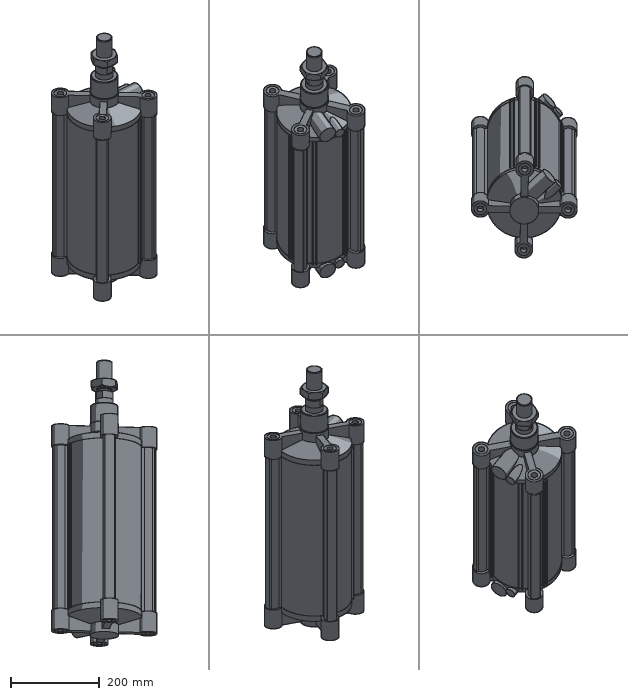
import cadquery as cq
import math


total_height = 638
cap_height = 48.0
collar_rise = 7.0
tube_length = 383
rear_cap_outer_z = collar_rise
tube_bottom_z = rear_cap_outer_z + cap_height
tube_top_z = tube_bottom_z + tube_length
outer_width = 180.0
boss_diameter = 40.0
boss_offset = (outer_width - boss_diameter) / 2
corner_distance = boss_offset * math.sqrt(2)
corner_angles = (45, 135, 225, 315)

cap_diameter = 169.0
rim_height = 13.5
cone_top_height = 31.0
collar_diameter = 65.0
collar_chamfer = 1.0
rib_width = 16.5
boss_recess_diameter = 29.0
boss_recess_depth = 0.5
boss_hole_diameter = 14.0
boss_hole_depth = 19

port_end_y = outer_width / 2
port_diameter = 39.5
port_x = 11.5
port_height = 22.5
cushion_diameter = 23.0
cushion_x = -19
cushion_height = 14.0

guard_diameter = 61.0
guard_top_z = 536
guard_chamfer = 2.0

tube_diameter = 168.0
bore_diameter = 160.0
ear_rod_diameter = 29.0
ear_web_width = 22.5
ear_rim_diameter = 36.0

rail_angle_from_ear = 18.8
rail_angles = [ear + side * rail_angle_from_ear for ear in (45, 135) for side in (-1, 1)]
fin_spacing = 8.0
fin_thickness = 1.0
fin_head_width = 3.0
fin_tip_distance = 89.5

rod_diameter = 40.0
thread_diameter = 36.0
thread_tip_diameter = 32
thread_chamfer = (thread_diameter - thread_tip_diameter) / 2
thread_bottom_z = 572.0
neck_diameter = 32.5
neck_taper = (thread_diameter - neck_diameter) / 2
wrench_diameter = 39.5
wrench_top_z = 566.5
wrench_bottom_z = 549.0
wrench_across_flats = 36.0

nut_across_flats = 55.0
nut_bottom_z = 574
nut_height = 18.5
nut_chamfer_angle = 30
hex_sides = 6
half_corner_angle = 180 / hex_sides


def cylinder(diameter, bottom_z, height, x=0, y=0):
    """Upright cylinder."""
    return cq.Workplane("XY", origin=(x, y, bottom_z)).circle(diameter / 2).extrude(height)


def radial_bar(start, end, width, bottom_z, height, angle, sideways=0):
    """Upright bar between two distances from the Z axis, turned to the given angle."""
    bar = cq.Workplane("XY", origin=(0, 0, bottom_z)).center((start + end) / 2, sideways)
    bar = bar.rect(end - start, width).extrude(height)
    return bar.rotate((0, 0, 0), (0, 0, 1), angle)


def corner_points():
    """Axes of the four corner bosses."""
    return [(sx * boss_offset, sy * boss_offset) for sx in (-1, 1) for sy in (-1, 1)]


def make_side_port(diameter, x, height):
    """Horizontal cylinder from the cap axis to the +Y end plane."""
    start = cq.Workplane("XZ", origin=(x, 0, height))
    return start.circle(diameter / 2).extrude(-port_end_y)


def make_cap():
    """End cap with its inner face at z = 0 and its collar pointing to +Z."""
    rim_radius = cap_diameter / 2
    collar_radius = collar_diameter / 2
    collar_top = cap_height + collar_rise
    profile = [
        (0, 0),
        (rim_radius, 0),
        (rim_radius, rim_height),
        (collar_radius, cone_top_height),
        (collar_radius, collar_top),
        (0, collar_top),
    ]
    cap = cq.Workplane("XZ").polyline(profile).close().revolve(360, (0, 0), (0, 1))
    for angle in corner_angles:
        cap = cap.union(radial_bar(0, corner_distance, rib_width, 0, cap_height, angle))
    for x, y in corner_points():
        cap = cap.union(cylinder(boss_diameter, 0, cap_height, x, y))
    cap = cap.union(make_side_port(port_diameter, port_x, port_height))
    cap = cap.union(make_side_port(cushion_diameter, cushion_x, cushion_height))
    for x, y in corner_points():
        recess_bottom = cap_height - boss_recess_depth
        hole_bottom = cap_height - boss_hole_depth
        cap = cap.cut(cylinder(boss_recess_diameter, recess_bottom, boss_recess_depth, x, y))
        cap = cap.cut(cylinder(boss_hole_diameter, hole_bottom, boss_hole_depth, x, y))
    return cap


def make_rear_cap():
    """Cap mirrored to point down, with its inner face against the bottom of the tube."""
    return make_cap().mirror("XY").translate((0, 0, tube_bottom_z))


def make_front_cap():
    """Cap on top of the tube, with the rod guard and the rod hole."""
    cap = make_cap().translate((0, 0, tube_top_z))
    cap = cap.faces(">Z").edges().chamfer(collar_chamfer)
    guard = cylinder(guard_diameter, tube_top_z, guard_top_z - tube_top_z)
    guard = guard.faces(">Z").edges().chamfer(guard_chamfer)
    rod_hole = cylinder(rod_diameter, tube_top_z, guard_top_z - tube_top_z)
    return cap.union(guard).cut(rod_hole)


def tube_bar(start, end, width, angle, sideways=0):
    """Radial bar as long as the tube."""
    return radial_bar(start, end, width, tube_bottom_z, tube_length, angle, sideways)


def make_ear(angle):
    """Corner ear: a round bar on a flat web that ends in a rounded outer rim."""
    rim = cylinder(ear_rim_diameter, tube_bottom_z, tube_length, corner_distance)
    rim = rim.rotate((0, 0, 0), (0, 0, 1), angle)
    bar = cylinder(ear_rod_diameter, tube_bottom_z, tube_length, corner_distance)
    bar = bar.rotate((0, 0, 0), (0, 0, 1), angle)
    outer = corner_distance + ear_rim_diameter / 2
    clip = tube_bar(corner_distance, outer, ear_web_width, angle)
    web = tube_bar(0, corner_distance, ear_web_width, angle)
    return rim.intersect(clip).union(bar).union(web)


def make_rail(angle):
    """Two parallel T-shaped fins."""
    head_start = fin_tip_distance - fin_thickness
    stem_start = bore_diameter / 2
    rail = cq.Workplane("XY")
    for sideways in (-fin_spacing / 2, fin_spacing / 2):
        stem = tube_bar(stem_start, fin_tip_distance, fin_thickness, angle, sideways)
        head = tube_bar(head_start, fin_tip_distance, fin_head_width, angle, sideways)
        rail = rail.add(stem.union(head))
    return rail.combine()


def make_tube():
    """Hollow tube with an ear at each corner and sensor rails beside the +Y ears."""
    tube = cylinder(tube_diameter, tube_bottom_z, tube_length)
    for angle in corner_angles:
        tube = tube.union(make_ear(angle))
    for angle in rail_angles:
        tube = tube.union(make_rail(angle))
    return tube.cut(cylinder(bore_diameter, tube_bottom_z, tube_length))


def make_rod():
    """Stepped rod from the inner face of the front cap to the thread tip."""
    rod_radius = rod_diameter / 2
    wrench_radius = wrench_diameter / 2
    neck_radius = neck_diameter / 2
    thread_radius = thread_diameter / 2
    profile = [
        (0, tube_top_z),
        (rod_radius, tube_top_z),
        (rod_radius, wrench_bottom_z),
        (wrench_radius, wrench_bottom_z),
        (wrench_radius, wrench_top_z),
        (neck_radius, wrench_top_z),
        (neck_radius, thread_bottom_z - neck_taper),
        (thread_radius, thread_bottom_z),
        (thread_radius, total_height - thread_chamfer),
        (thread_tip_diameter / 2, total_height),
        (0, total_height),
    ]
    rod = cq.Workplane("XZ").polyline(profile).close().revolve(360, (0, 0), (0, 1))
    wrench_height = wrench_top_z - wrench_bottom_z
    flat_cuts = cylinder(rod_diameter, wrench_bottom_z, wrench_height)
    flat_cuts = flat_cuts.cut(
        cq.Workplane("XY", origin=(0, 0, wrench_bottom_z))
        .rect(wrench_across_flats, rod_diameter)
        .extrude(wrench_height)
    )
    return rod.cut(flat_cuts)


def make_nut():
    """Hexagon nut with flats on -X and +X and chamfered corners."""
    across_corners = nut_across_flats / math.cos(math.radians(half_corner_angle))
    nut = cq.Workplane("XY").polygon(hex_sides, across_corners).extrude(nut_height)
    nut = nut.rotate((0, 0, 0), (0, 0, 1), half_corner_angle)
    corner_radius = across_corners / 2
    flat_radius = nut_across_flats / 2
    drop = (corner_radius - flat_radius) * math.tan(math.radians(nut_chamfer_angle))
    envelope_profile = [
        (0, 0),
        (flat_radius, 0),
        (corner_radius, drop),
        (corner_radius, nut_height - drop),
        (flat_radius, nut_height),
        (0, nut_height),
    ]
    envelope = cq.Workplane("XZ").polyline(envelope_profile).close().revolve(360, (0, 0), (0, 1))
    nut = nut.intersect(envelope).cut(cylinder(thread_diameter, 0, nut_height))
    return nut.translate((0, 0, nut_bottom_z))


rear_cap = make_rear_cap()
front_cap = make_front_cap()
tube = make_tube()
rod = make_rod()
nut = make_nut()

result = cq.Compound.makeCompound([rear_cap.val(), front_cap.val(), tube.val(), rod.val(), nut.val()])